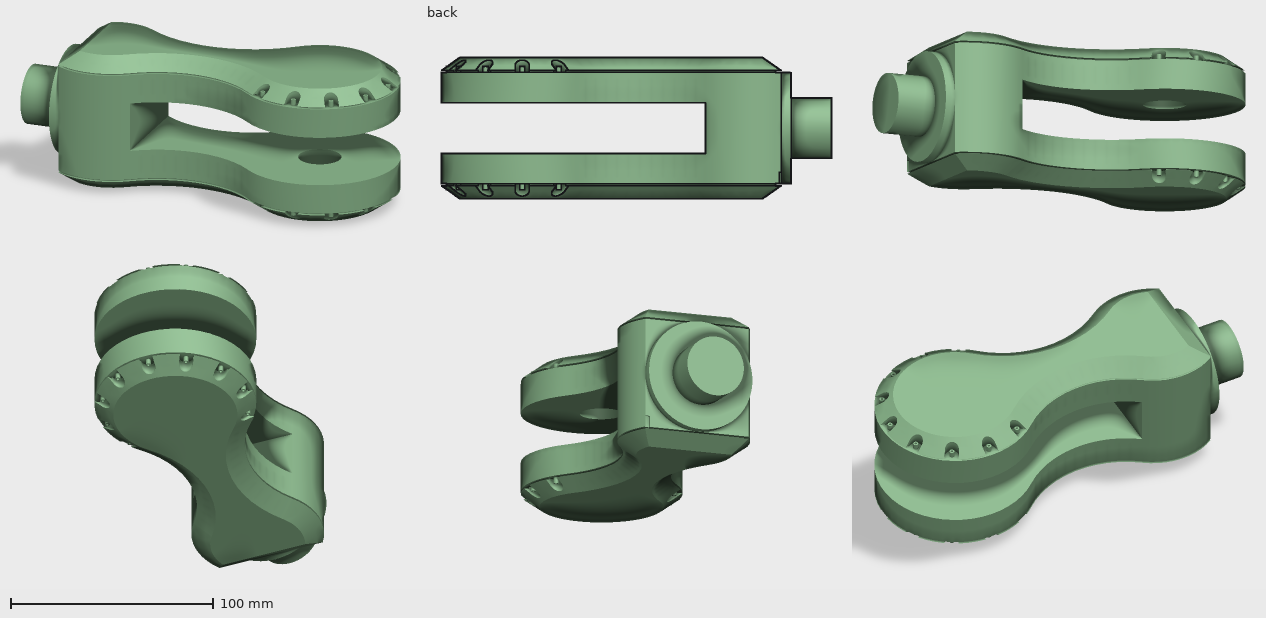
import cadquery as cq
import math

total_height = 70.0
slot_height = 25.0
arm_thickness = 15.0
groove_height = 1.0
groove_inset = 2.7
cap_slope = 35.0

lobe_radius = 32.8
head_radius = 40.0
waist_radius = 50.0
head_x = 128.0

flange_radius = 27.5
flange_length = 5.0
shaft_radius = 15.0
shaft_length = 20.0

screw_circle_radius = 36.2
screw_diameter = 2.5
screw_height = 3.0
socket_diameter = 1.2
socket_depth = 1.5
pocket_width = 7.0
screw_count = 9
screw_spacing = 30

seat_radius = 10.7
seat_depth = 11.5

notch_width = 2.4
notch_height = 5.6
notch_depth = 1.0

arm_top = slot_height / 2 + arm_thickness
rim_z = arm_top + groove_height
cap_top = total_height / 2
cap_height = cap_top - rim_z
half_end = flange_radius
lobe_x = math.sqrt(lobe_radius**2 - half_end**2)

lobe_to_head = head_x - lobe_x
lobe_to_waist = lobe_radius + waist_radius
head_to_waist = head_radius + waist_radius
waist_dx = (lobe_to_waist**2 - head_to_waist**2 + lobe_to_head**2) / (2 * lobe_to_head)
waist_x = lobe_x + waist_dx
waist_y = math.sqrt(lobe_to_waist**2 - waist_dx**2)
lobe_joint = (
    lobe_x + lobe_radius * waist_dx / lobe_to_waist,
    lobe_radius * waist_y / lobe_to_waist,
)
head_joint = (
    head_x + (waist_x - head_x) * head_radius / head_to_waist,
    waist_y * head_radius / head_to_waist,
)
slot_start = lobe_joint[0]


def mirror_y(point):
    return (point[0], -point[1])


def outline(z):
    """Closed plan outline of the link at height z."""
    lobe_crest = (lobe_x, lobe_radius)
    waist_low = (waist_x, waist_y - waist_radius)
    return (
        cq.Workplane("XY", origin=(0, 0, z))
        .moveTo(0, -half_end)
        .threePointArc(mirror_y(lobe_crest), mirror_y(lobe_joint))
        .threePointArc(mirror_y(waist_low), mirror_y(head_joint))
        .threePointArc((head_x + head_radius, 0), head_joint)
        .threePointArc(waist_low, lobe_joint)
        .threePointArc(lobe_crest, (0, half_end))
        .close()
    )


def make_body():
    """Forked body: full-height lobe and two arms either side of the slot."""
    body = outline(-arm_top).extrude(2 * arm_top)
    slot_length = head_x + head_radius - slot_start
    slot = cq.Workplane("XY").box(
        slot_length, 2 * head_radius, slot_height, centered=(False, True, True)
    )
    return body.cut(slot.translate((slot_start, 0, 0)))


def make_seats():
    """Cutter for the two blind pivot seats in the inner faces of the arms."""
    reach = slot_height / 2 + seat_depth
    return cq.Workplane("XY").center(head_x, 0).circle(seat_radius).extrude(reach, both=True)


def make_neck():
    """Shaft and flange along X on the flat end."""
    flange = cq.Workplane("YZ").circle(flange_radius).extrude(-flange_length)
    shaft = cq.Workplane("YZ").circle(shaft_radius).extrude(-flange_length - shaft_length)
    return flange.union(shaft)


def at_screw(shape, angle):
    """Move a shape modelled about the origin to the screw place at this angle."""
    on_circle = shape.translate((screw_circle_radius, 0, arm_top))
    turned = on_circle.rotate((0, 0, 0), (0, 0, 1), angle)
    return turned.translate((head_x, 0, 0))


def make_cap():
    """Sloped upper cap on an inset step, with screws in open pockets."""
    step = outline(arm_top).offset2D(-groove_inset, "intersection").extrude(groove_height)
    slope_taper = 90.0 - cap_slope
    cap = step.union(outline(rim_z).extrude(cap_height, taper=slope_taper))

    pocket_height = cap_top - arm_top
    pocket_run = cq.Workplane("XY").box(
        head_radius, pocket_width, pocket_height, centered=(False, True, False)
    )
    pocket = cq.Workplane("XY").circle(pocket_width / 2).extrude(pocket_height).union(pocket_run)
    screw = (
        cq.Workplane("XY")
        .circle(screw_diameter / 2)
        .extrude(screw_height)
        .faces(">Z")
        .workplane()
        .hole(socket_diameter, socket_depth)
    )
    for index in range(screw_count):
        angle = (index - (screw_count - 1) / 2) * screw_spacing
        cap = cap.cut(at_screw(pocket, angle))
        cap = cap.union(at_screw(screw, angle))
    return cap


def make_notch():
    """Cutter for the corner notch in the flat end."""
    notch = cq.Workplane("XY").box(notch_depth, notch_width, notch_height, centered=False)
    return notch.translate((0, half_end - notch_width, -arm_top))


cap = make_cap()
result = make_body().cut(make_seats()).union(make_neck()).cut(make_notch())
result = result.union(cap).union(cap.mirror("XY"))